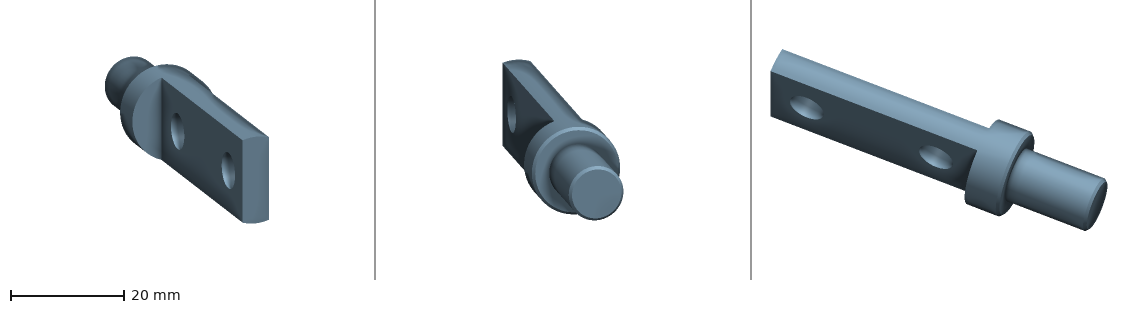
import cadquery as cq

total_length = 62.0
body_diameter = 16.0
pin_diameter = 9.9
pin_length = 15.5
collar_length = 6.5
blade_thickness = 5.0
hole_diameter = 6.6
first_hole_offset = 8.0
hole_spacing = 25.0
hole_count = 2
edge_chamfer = 0.5

collar_end = pin_length + collar_length
blade_length = total_length - collar_end


def cylinder_along_x(start, length, diameter):
    """Round bar on the X axis, beginning at the given X position."""
    return cq.Workplane("YZ", origin=(start, 0, 0)).circle(diameter / 2).extrude(length)


def make_pin():
    pin = cylinder_along_x(0, pin_length, pin_diameter)
    return pin.faces("<X").chamfer(edge_chamfer)


def make_collar():
    collar = cylinder_along_x(pin_length, collar_length, body_diameter)
    return collar.faces("<X").chamfer(edge_chamfer)


def make_blade():
    """Flat blade whose top and bottom edges keep the round of the body."""
    bar = cylinder_along_x(collar_end, blade_length, body_diameter)
    slab = cq.Workplane("XY").box(
        total_length, blade_thickness, body_diameter, centered=(False, True, True)
    )
    return bar.intersect(slab)


def make_cross_hole(x_position):
    hole = cq.Workplane("XZ", origin=(x_position, 0, 0)).circle(hole_diameter / 2)
    return hole.extrude(blade_thickness, both=True)


result = make_pin().union(make_collar()).union(make_blade())
for hole_index in range(hole_count):
    hole_x = collar_end + first_hole_offset + hole_index * hole_spacing
    result = result.cut(make_cross_hole(hole_x))